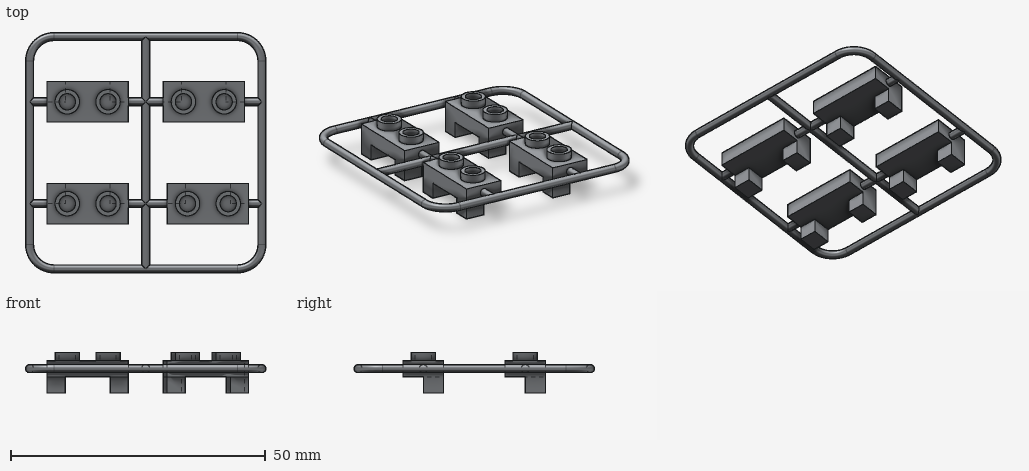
import cadquery as cq

rod_diameter = 1.6
outer_size = 47.2
rail_span = outer_size - rod_diameter
corner_radius = 4.8
rail_reach = rail_span / 2
straight_reach = rail_reach - corner_radius

stud_pitch = 8.0
plate_length = 2 * stud_pitch
plate_width = stud_pitch
plate_height = 3.2
plate_top = plate_height / 2
stud_diameter = 4.8
stud_bore_diameter = 3.2
stud_height = 1.6
leg_length = 3.6
leg_width = plate_width / 2
leg_height = 3.2

row_spacing = 20.0
row_y = row_spacing / 2
bay_center = rail_reach / 2
plate_shift = 0.8
plate_centers = [
    (-bay_center, row_y),
    (bay_center, row_y),
    (-bay_center, -row_y),
    (bay_center + plate_shift, -row_y),
]


def make_rod_along_x(x_start, x_end, y):
    return (
        cq.Workplane("YZ", origin=(x_start, y, 0))
        .circle(rod_diameter / 2)
        .extrude(x_end - x_start)
    )


def make_rod_along_y(y_start, y_end, x):
    return (
        cq.Workplane("XZ", origin=(x, y_start, 0))
        .circle(rod_diameter / 2)
        .extrude(y_start - y_end)
    )


def make_corner():
    """Quarter-torus bend joining the rails at the +X +Y corner."""
    return (
        cq.Workplane("XZ", origin=(straight_reach, straight_reach, 0))
        .center(corner_radius, 0)
        .circle(rod_diameter / 2)
        .revolve(90, (-corner_radius, 0), (-corner_radius, 1))
    )


def make_sprue():
    """Rounded square frame with a middle spine and runners reaching to the plate ends."""
    sprue = make_rod_along_y(-rail_reach, rail_reach, 0)
    for side in (-1, 1):
        sprue = sprue.union(make_rod_along_x(-straight_reach, straight_reach, side * rail_reach))
        sprue = sprue.union(make_rod_along_y(-straight_reach, straight_reach, side * rail_reach))
    for quarter in range(4):
        sprue = sprue.union(make_corner().rotate((0, 0, 0), (0, 0, 1), 90 * quarter))
    for x, y in plate_centers:
        bay_start = 0 if x > 0 else -rail_reach
        bay_end = bay_start + rail_reach
        sprue = sprue.union(make_rod_along_x(bay_start, x - plate_length / 2, y))
        sprue = sprue.union(make_rod_along_x(x + plate_length / 2, bay_end, y))
    return sprue


def make_stud_plate(x, y):
    """1 x 2 plate with hollow studs on top and a leg under each end of its +Y half."""
    plate = cq.Workplane("XY", origin=(x, y, 0)).box(plate_length, plate_width, plate_height)
    studs = (
        cq.Workplane("XY", origin=(x, y, plate_top))
        .rarray(stud_pitch, 1, 2, 1)
        .circle(stud_diameter / 2)
        .circle(stud_bore_diameter / 2)
        .extrude(stud_height)
    )
    legs = (
        cq.Workplane("XY", origin=(x, y + leg_width / 2, -plate_top))
        .rarray(plate_length - leg_length, 1, 2, 1)
        .rect(leg_length, leg_width)
        .extrude(-leg_height)
    )
    return plate.union(studs).union(legs)


sprue = make_sprue()
stud_plates = [make_stud_plate(x, y) for x, y in plate_centers]

result = cq.Compound.makeCompound([sprue.val(), *[plate.val() for plate in stud_plates]])